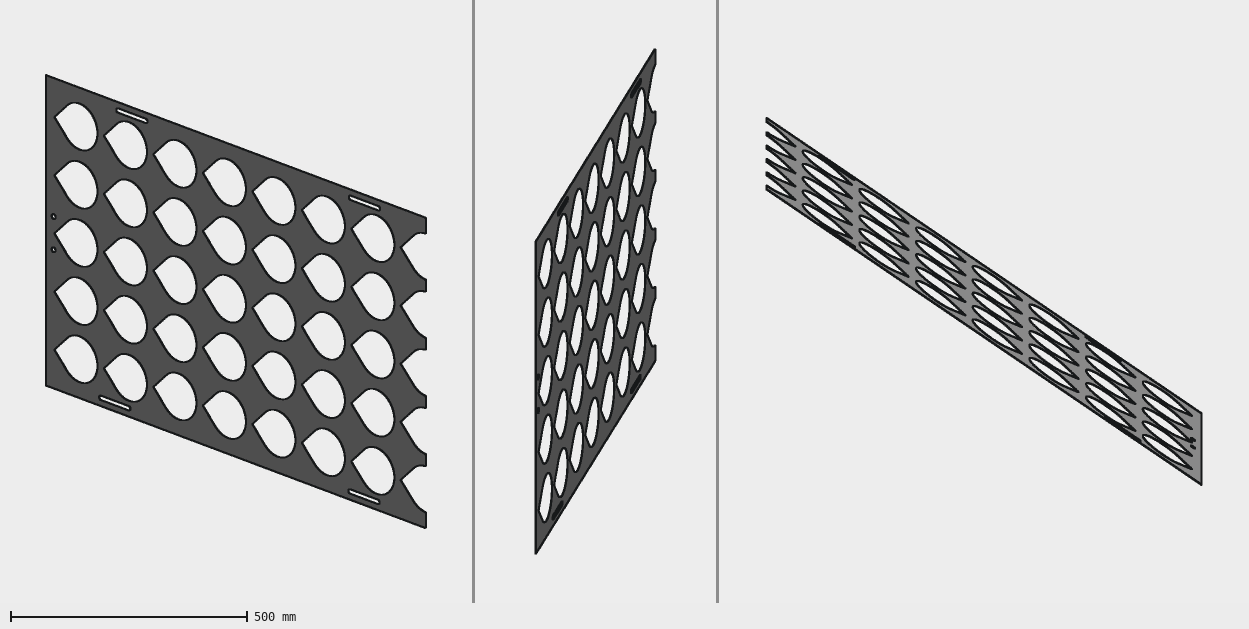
import cadquery as cq
import math

sheet_length = 1121.0
sheet_height = 712.0
sheet_thickness = 1.6

drop_radius = 53.0
drop_columns = 8
drop_rows = 5
first_tip_margin = 25.0
row_pitch = 133.0
tip_to_center = drop_radius * math.sqrt(2)
first_center_x = -sheet_length / 2 + first_tip_margin + tip_to_center
column_pitch = (sheet_length / 2 - first_center_x) / (drop_columns - 1)

slot_length = 92.0
slot_width = 10.0
slot_edge_distance = 19.0
upper_slot_centers_x = (-307.0, 379.0)
lower_slot_centers_x = (-358.0, 378.0)

small_hole_diameter = 11.0
small_hole_edge_distance = 22.0
small_hole_spacing = 76.0

end_corner_radius = 3.0

cut_reach = sheet_thickness


def front_plane():
    """Workplane on the sheet's middle plane: local x is X, local y is Z."""
    return cq.Workplane("XZ")


def draw_teardrop(center_x, center_z):
    """Closed teardrop outline around one circle center."""
    tangent = drop_radius / math.sqrt(2)
    return (
        front_plane()
        .center(center_x, center_z)
        .moveTo(-tip_to_center, 0)
        .lineTo(-tangent, tangent)
        .threePointArc((drop_radius, 0), (-tangent, -tangent))
        .close()
    )


def cut_teardrops(body):
    """Cut the whole grid of teardrop openings."""
    for column in range(drop_columns):
        center_x = first_center_x + column * column_pitch
        for row in range(drop_rows):
            center_z = (row - (drop_rows - 1) / 2) * row_pitch
            drop = draw_teardrop(center_x, center_z).extrude(cut_reach, both=True)
            body = body.cut(drop)
    return body


def slot_cutters():
    """Prisms for the slots along both long edges."""
    axis_z = sheet_height / 2 - slot_edge_distance
    centers = [(x, axis_z) for x in upper_slot_centers_x]
    centers += [(x, -axis_z) for x in lower_slot_centers_x]
    return (
        front_plane()
        .pushPoints(centers)
        .slot2D(slot_length, slot_width)
        .extrude(cut_reach, both=True)
    )


def small_hole_cutters():
    """Cylinders for the pair of small holes."""
    x = -sheet_length / 2 + small_hole_edge_distance
    z = small_hole_spacing / 2
    return (
        front_plane()
        .pushPoints([(x, z), (x, -z)])
        .circle(small_hole_diameter / 2)
        .extrude(cut_reach, both=True)
    )


sheet = cq.Workplane("XY").box(sheet_length, sheet_thickness, sheet_height)
result = cut_teardrops(sheet).edges("|Y and >X").fillet(end_corner_radius)
result = result.cut(slot_cutters()).cut(small_hole_cutters())